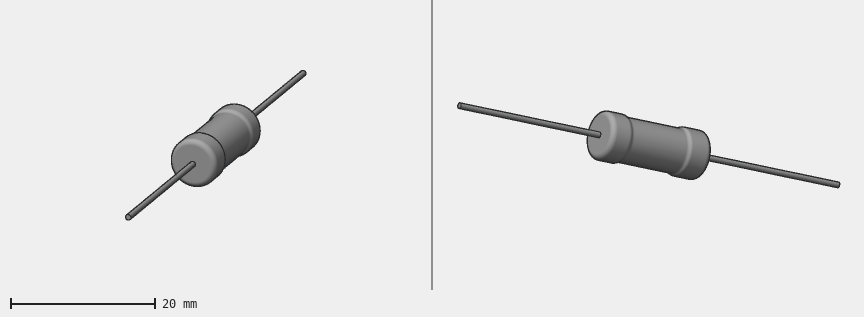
import cadquery as cq
import math

total_length = 63.6
body_length = 16.65
cap_radius = 7.0 / 2
core_radius = 6.4 / 2
lead_diameter = 0.8
end_rounding = 0.75

front_shoulder_start = 4.3
front_shoulder_end = 5.1
back_shoulder_start = 4.5
back_shoulder_end = 5.5

body_end = body_length / 2
cap_face_radius = cap_radius - end_rounding
lead_length = total_length / 2 - body_end


def shoulder_points(start, end):
    """Return (radius, distance) for a shoulder: concave mid, inflection, convex mid."""
    half_run = (end - start) / 2
    half_rise = (cap_radius - core_radius) / 2
    arc_radius = (half_run**2 + half_rise**2) / (2 * half_rise)
    half_angle = math.asin(half_run / arc_radius) / 2
    mid_run = arc_radius * math.sin(half_angle)
    mid_rise = arc_radius * (1 - math.cos(half_angle))
    concave_mid = (core_radius + mid_rise, start + mid_run)
    inflection = (core_radius + half_rise, start + half_run)
    convex_mid = (cap_radius - mid_rise, end - mid_run)
    return concave_mid, inflection, convex_mid


def mirrored(point):
    """Move a profile point from the back half to the front half."""
    radius, distance = point
    return radius, -distance


def make_body():
    """Revolve the body profile, with X as radius, around the Y axis."""
    front_concave, front_inflection, front_convex = map(
        mirrored, shoulder_points(front_shoulder_start, front_shoulder_end)
    )
    back_concave, back_inflection, back_convex = shoulder_points(
        back_shoulder_start, back_shoulder_end
    )
    rounding_mid = (
        cap_face_radius + end_rounding * math.sqrt(0.5),
        body_end - end_rounding * (1 - math.sqrt(0.5)),
    )
    profile = (
        cq.Workplane("XY")
        .moveTo(0, -body_end)
        .lineTo(cap_face_radius, -body_end)
        .threePointArc(mirrored(rounding_mid), (cap_radius, -body_end + end_rounding))
        .lineTo(cap_radius, -front_shoulder_end)
        .threePointArc(front_convex, front_inflection)
        .threePointArc(front_concave, (core_radius, -front_shoulder_start))
        .lineTo(core_radius, back_shoulder_start)
        .threePointArc(back_concave, back_inflection)
        .threePointArc(back_convex, (cap_radius, back_shoulder_end))
        .lineTo(cap_radius, body_end - end_rounding)
        .threePointArc(rounding_mid, (cap_face_radius, body_end))
        .lineTo(0, body_end)
        .close()
    )
    return profile.revolve(360, (0, 0, 0), (0, 1, 0))


def make_lead(side):
    """Make the wire that butts against one end face; side is -1 (front) or 1 (back)."""
    end_face = cq.Workplane("XZ", origin=(0, side * body_end, 0))
    return end_face.circle(lead_diameter / 2).extrude(-side * lead_length)


body = make_body()
leads = [make_lead(side) for side in (-1, 1)]

result = cq.Compound.makeCompound([body.val(), *[lead.val() for lead in leads]])